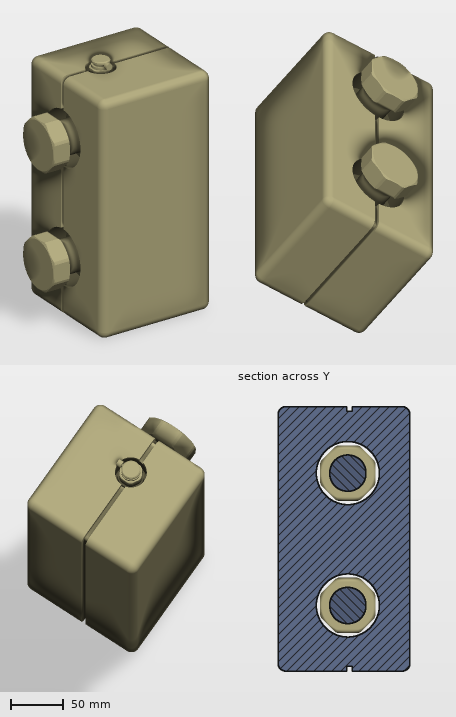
import cadquery as cq
import math

WIDTH = 125.0
HEIGHT = 250.3
EDGE_RADIUS = 7.8
FRONT = -WIDTH / 2

GROOVE_WIDTH = 4.5
GROOVE_DEPTH = 4.5
GROOVE_X = -5.2

AXIS_X = -3.6
AXIS_Y = FRONT + 42.8
LOWER_PORT_Z = 62.3
PORT_PITCH = 125.0
PORT_HEIGHTS = [LOWER_PORT_Z, LOWER_PORT_Z + PORT_PITCH]

RECESS_DEPTH = 23.0
PORT_RECESS_RADIUS = 29.5
VENT_RECESS_RADIUS = 15.0

TUBE_RADIUS = 18.2
PORT_RADIUS = 17.5
CAP_FACE_Y = FRONT - 28.3
CAP_LENGTH = 19.2
CAP_SIDES = 8
CAP_ACROSS_FLATS = 52.5
CAP_CORNER_RADIUS = 27.8
CAP_CHAMFER_LENGTH = 1.3
CAP_CHAMFER_WIDTH = 2.3
CAP_BACK_FILLET = 4.0

VENT_TOP = 259.5
VENT_PIPE_RADIUS = 12.5
COLLAR_RISE = 1.0
COLLAR_LENGTH = 11.5
COLLAR_SIDES = 6
COLLAR_ACROSS_FLATS = 21.0
COLLAR_CORNER_RADIUS = 11.2
COLLAR_CHAMFER_LENGTH = 0.5
COLLAR_CHAMFER_WIDTH = 1.0
VENT_RADIUS = 9.0
VENT_CHAMFER = 1.0
NECK_RADIUS = 6.7
NECK_HEIGHT = 2.9
NECK_Z = 255.2
KNOB_RADIUS = 3.5
KNOB_START = 10.0
KNOB_END = 14.8
STEM_RADIUS = 1.0


def rounded_block(inset):
    """The housing block shrunk by inset on every side, its edges rounded to match."""
    side = WIDTH - 2 * inset
    return (
        cq.Workplane("XY", origin=(0, 0, inset))
        .box(side, side, HEIGHT - 2 * inset, centered=(True, True, False))
        .edges()
        .fillet(EDGE_RADIUS - inset)
    )


def parting_groove():
    """A band of constant depth around the housing."""
    slab = cq.Workplane("XY", origin=(GROOVE_X, 0, HEIGHT / 2)).box(GROOVE_WIDTH, 2 * WIDTH, 2 * HEIGHT)
    return slab.cut(rounded_block(GROOVE_DEPTH))


def turned_nut(sides, across_flats, length, corner_radius, chamfer_length, chamfer_width):
    """A nut along +Z from Z = 0 with two of its flats square to Y.

    Its corners are turned to corner_radius and chamfered at both ends.
    """
    half_angle = math.pi / sides
    across_corners = across_flats / math.cos(half_angle)
    turn_angle = 90 - math.degrees(half_angle)
    prism = (
        cq.Workplane("XY")
        .transformed(rotate=(0, 0, turn_angle))
        .polygon(sides, across_corners)
        .extrude(length)
    )
    end_radius = corner_radius - chamfer_width
    turned_blank = (
        cq.Workplane("XZ")
        .lineTo(end_radius, 0)
        .lineTo(corner_radius, chamfer_length)
        .lineTo(corner_radius, length - chamfer_length)
        .lineTo(end_radius, length)
        .lineTo(0, length)
        .close()
        .revolve(360, (0, 0, 0), (0, 1, 0))
    )
    return prism.intersect(turned_blank)


def upright_cylinder(radius, bottom, top):
    """A cylinder on the separator axis between two heights."""
    return cq.Workplane("XY", origin=(AXIS_X, AXIS_Y, bottom)).circle(radius).extrude(top - bottom)


def front_cylinder(radius, height, back_y, front_y):
    """A cylinder along Y at a port height, from back_y forward to front_y."""
    return cq.Workplane("XZ", origin=(AXIS_X, back_y, height)).circle(radius).extrude(back_y - front_y)


def port_cap():
    """An octagonal cap along +Z, the back edges of its two flats square to Y rounded over."""
    nut = turned_nut(
        CAP_SIDES,
        CAP_ACROSS_FLATS,
        CAP_LENGTH,
        CAP_CORNER_RADIUS,
        CAP_CHAMFER_LENGTH,
        CAP_CHAMFER_WIDTH,
    )
    rounded_slab = (
        cq.Workplane("XY")
        .box(2 * CAP_ACROSS_FLATS, CAP_ACROSS_FLATS, CAP_LENGTH, centered=(True, True, False))
        .edges("|X and <Z")
        .fillet(CAP_BACK_FILLET)
    )
    return nut.intersect(rounded_slab)


def port(height):
    """A port stub from the tube axis with its octagonal cap."""
    cap_back_y = CAP_FACE_Y + CAP_LENGTH
    stub = front_cylinder(PORT_RADIUS, height, AXIS_Y, cap_back_y - CAP_LENGTH / 2)
    cap = port_cap().rotate((0, 0, 0), (1, 0, 0), 90).translate((AXIS_X, cap_back_y, height))
    return stub.union(cap)


def air_vent():
    """The vent pipe, its hexagonal collar, the necked vent cap and its side knob."""
    collar_bottom = HEIGHT + COLLAR_RISE - COLLAR_LENGTH
    collar = turned_nut(
        COLLAR_SIDES,
        COLLAR_ACROSS_FLATS,
        COLLAR_LENGTH,
        COLLAR_CORNER_RADIUS,
        COLLAR_CHAMFER_LENGTH,
        COLLAR_CHAMFER_WIDTH,
    ).translate((AXIS_X, AXIS_Y, collar_bottom))

    neck_bottom = NECK_Z - NECK_HEIGHT / 2
    neck_top = NECK_Z + NECK_HEIGHT / 2
    cap = (
        cq.Workplane("XZ")
        .moveTo(0, collar_bottom)
        .lineTo(VENT_RADIUS, collar_bottom)
        .lineTo(VENT_RADIUS, neck_bottom)
        .lineTo(NECK_RADIUS, neck_bottom)
        .lineTo(NECK_RADIUS, neck_top)
        .lineTo(VENT_RADIUS, neck_top)
        .lineTo(VENT_RADIUS, VENT_TOP - VENT_CHAMFER)
        .lineTo(VENT_RADIUS - VENT_CHAMFER, VENT_TOP)
        .lineTo(0, VENT_TOP)
        .close()
        .revolve(360, (0, 0, 0), (0, 1, 0))
        .translate((AXIS_X, AXIS_Y, 0))
    )
    stem = (
        cq.Workplane("YZ", origin=(AXIS_X, AXIS_Y, NECK_Z))
        .circle(STEM_RADIUS)
        .extrude(KNOB_END)
    )
    knob = (
        cq.Workplane("YZ", origin=(AXIS_X + KNOB_START, AXIS_Y, VENT_TOP - KNOB_RADIUS))
        .circle(KNOB_RADIUS)
        .extrude(KNOB_END - KNOB_START)
    )
    pipe = upright_cylinder(VENT_PIPE_RADIUS, PORT_HEIGHTS[-1], collar_bottom)
    return pipe.union(collar).union(cap).union(stem).union(knob)


def build_separator():
    """The upright tube with its two capped ports and the air vent."""
    tube_bottom = PORT_HEIGHTS[0] - TUBE_RADIUS
    tube_top = PORT_HEIGHTS[-1] + TUBE_RADIUS
    body = upright_cylinder(TUBE_RADIUS, tube_bottom, tube_top)
    for height in PORT_HEIGHTS:
        body = body.union(port(height))
    return body.union(air_vent())


def build_housing(insert):
    """The grooved block with its clearance recesses and a cavity fitting the insert."""
    block = rounded_block(0).cut(parting_groove())
    for height in PORT_HEIGHTS:
        block = block.cut(front_cylinder(PORT_RECESS_RADIUS, height, FRONT + RECESS_DEPTH, FRONT))
    block = block.cut(upright_cylinder(VENT_RECESS_RADIUS, HEIGHT - RECESS_DEPTH, HEIGHT))
    return block.cut(insert)


separator = build_separator()
housing = build_housing(separator)

result = cq.Compound.makeCompound([housing.solids().val(), separator.solids().val()])